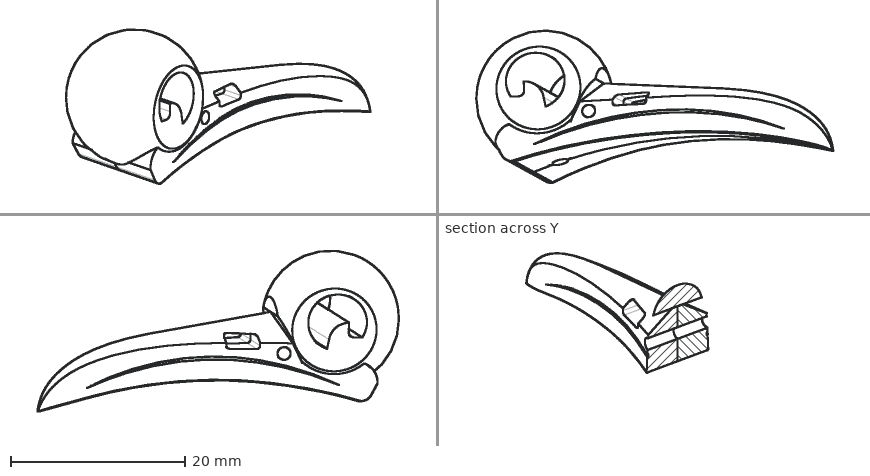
import cadquery as cq
import math


CRANIUM_RADIUS = 7.85
CRANIUM_HALF_WIDTH = 7.95
CRANIUM_Y = CRANIUM_RADIUS
CRANIUM_TOP_Z = 16.5
CRANIUM_Z = CRANIUM_TOP_Z - CRANIUM_RADIUS
CRANIUM_FRONT_Y = 15.1
CRANIUM_FRONT_FOOT_Z = 9.92
CRANIUM_UNDERCUT = 0.44
EYE_SIDE_SLOPE = 0.25
EYE_SIDE_HALF_WIDTH = 6.43

EYE_Y = 8.97
EYE_Z = 9.5
EYE_RADIUS = 3.3
EYE_TOP_ANGLE = 72
WAVE_FRONT_ANGLE = -69
WAVE_BACK_ANGLE = 213
WAVE_TIP = (7.7, 9.45)
WAVE_CREST_MIDDLE = (9.28, 8.8)
WAVE_CREST_FOOT = (9.92, 7.5)
WAVE_CURL_TOP = (7.72, 8.5)
WAVE_CURL_MIDDLE = (7.55, 7.9)
WAVE_CURL_FOOT_Y = 7.05

TIP_Y = 43.15
BELLY_PEAK_Y = 24.6
BELLY_PEAK_Z = 2.95
BELLY_REACH = TIP_Y - BELLY_PEAK_Y
BELLY_RADIUS = (BELLY_REACH**2 + BELLY_PEAK_Z**2) / (2 * BELLY_PEAK_Z)
EAVE_INSET = 0.25
EDGE_BEVEL = 0.15
TIP_SHARE = 0.25

BEAK_STATIONS = [
    (TIP_Y, 0.17, 0.2, 0.35),
    (42.05, 0.7, 2.35, 2.98),
    (39.7, 1.35, 4.45, 5.2),
    (36.25, 1.7, 5.9, 6.9),
    (31.92, 2.0, 6.8, 8.0),
    (26.75, 2.45, 7.25, 8.63),
    (19.85, 3.4, 7.2, 9.4),
    (15.1, 4.45, 7.07, 9.92),
    (10.35, 5.55, 6.9, 10.45),
    (3.45, 7.3, 6.7, 11.2),
]

HEEL_BOTTOM = (6.45, 0.17)
HEEL_ROUND_MIDDLE = (5.65, 0.35)
HEEL_ROUND_END = (5.15, 0.85)
HEEL_BACK = (4.4, 2.25)
HEEL_SHOULDER_MIDDLE = (4.7, 3.55)
HEEL_TOP = (6.15, 4.65)
SEAT_TOP = (12.5, 10.05)

NOSTRIL_CORNERS = [(21.35, 8.15), (17.5, 7.95), (17.5, 6.43), (21.35, 6.55)]
NOSTRIL_FILLET = 0.4
PIN_HOLE_Y = 14.85
PIN_HOLE_Z = 5.85
PIN_HOLE_RADIUS = 0.75

MOUTH_FRONT = (37.65, 2.7)
MOUTH_BACK = (8.75, 2.1)
MOUTH_UPPER_MIDDLE = (22.65, 5.7)
MOUTH_WIDTH = 0.35
MOUTH_DEPTH = 0.17

BEYOND = 21.55


def extrude_across(outline):
    """Extrude a closed YZ outline through the whole width."""
    return outline.extrude(BEYOND, both=True)


def make_ellipsoid():
    return (
        cq.Workplane("XY", origin=(0, CRANIUM_Y, CRANIUM_Z))
        .moveTo(-CRANIUM_HALF_WIDTH, 0)
        .ellipseArc(CRANIUM_HALF_WIDTH, CRANIUM_RADIUS, 180, 360, startAtCurrent=True)
        .close()
        .revolve(360, (0, 0, 0), (1, 0, 0))
    )


def make_eye_side_prism():
    """Prism that bounds the cranium at its slanted eye sides."""
    back_y = CRANIUM_Y - CRANIUM_RADIUS
    front_y = CRANIUM_Y + CRANIUM_RADIUS
    back_width = EYE_SIDE_HALF_WIDTH + EYE_SIDE_SLOPE * (CRANIUM_Y - back_y)
    front_width = EYE_SIDE_HALF_WIDTH + EYE_SIDE_SLOPE * (CRANIUM_Y - front_y)
    return (
        cq.Workplane("XY")
        .polyline([
            (-back_width, back_y),
            (back_width, back_y),
            (front_width, front_y),
            (-front_width, front_y),
        ])
        .close()
        .extrude(BEYOND)
    )


def make_front_cutter():
    """Everything ahead of the flat front and of its slanted lower part."""
    foot_y = CRANIUM_FRONT_Y - CRANIUM_UNDERCUT * CRANIUM_FRONT_FOOT_Z
    outline = cq.Workplane("YZ").polyline([
        (CRANIUM_FRONT_Y, BEYOND),
        (CRANIUM_FRONT_Y, CRANIUM_FRONT_FOOT_Z),
        (foot_y, 0),
        (BEYOND, 0),
        (BEYOND, BEYOND),
    ])
    return extrude_across(outline.close())


def make_cranium_blank():
    return make_ellipsoid().intersect(make_eye_side_prism()).cut(make_front_cutter())


def make_eye_opening():
    """Round hole whose lower rim is interrupted by a curling wave."""
    def on_rim(degrees):
        angle = math.radians(degrees)
        return (EYE_Y + EYE_RADIUS * math.cos(angle), EYE_Z + EYE_RADIUS * math.sin(angle))

    wave_front = on_rim(WAVE_FRONT_ANGLE)
    wave_back = on_rim(WAVE_BACK_ANGLE)
    outline = (
        cq.Workplane("YZ")
        .moveTo(*wave_front)
        .threePointArc(on_rim(EYE_TOP_ANGLE), wave_back)
        .lineTo(WAVE_CURL_FOOT_Y, wave_back[1])
        .threePointArc(WAVE_CURL_MIDDLE, WAVE_CURL_TOP)
        .lineTo(*WAVE_TIP)
        .threePointArc(WAVE_CREST_MIDDLE, WAVE_CREST_FOOT)
        .lineTo(*wave_front)
        .close()
    )
    return extrude_across(outline)


def make_cranium():
    return make_cranium_blank().cut(make_eye_opening())


def underside_height(y):
    drop = BELLY_RADIUS - math.sqrt(BELLY_RADIUS**2 - (y - BELLY_PEAK_Y) ** 2)
    return BELLY_PEAK_Z - drop


def beak_corners(station):
    """Corner points of half a cross-section, from the ridge round to the keel."""
    y, half_width, eave_z, ridge_z = station
    inset = min(EAVE_INSET, half_width * TIP_SHARE)
    bevel = min(EDGE_BEVEL, half_width * TIP_SHARE)
    bottom_z = underside_height(y)
    return [
        cq.Vector(0, y, ridge_z),
        cq.Vector(half_width - inset, y, eave_z),
        cq.Vector(half_width, y, bottom_z + bevel),
        cq.Vector(half_width - bevel, y, bottom_z),
        cq.Vector(0, y, bottom_z),
    ]


def make_beak_blank():
    """Half of the beak, bounded by ruled faces between five lengthwise curves."""
    sections = [beak_corners(station) for station in BEAK_STATIONS]
    rails = [cq.Edge.makeSpline(list(points)) for points in zip(*sections)]
    faces = [
        cq.Face.makeRuledSurface(rail, next_rail)
        for rail, next_rail in zip(rails, rails[1:] + rails[:1])
    ]
    for end in (sections[0], sections[-1]):
        faces.append(cq.Face.makeFromWires(cq.Wire.makePolygon(end, close=True)))
    return cq.Workplane(cq.Solid.makeSolid(cq.Shell.makeShell(faces)).fix())


def make_heel_trim():
    """Everything in front of the rounded heel and the cranium seat."""
    front_y = TIP_Y + BEYOND
    outline = (
        cq.Workplane("YZ")
        .moveTo(front_y, -BEYOND)
        .lineTo(HEEL_BOTTOM[0], -BEYOND)
        .lineTo(*HEEL_BOTTOM)
        .threePointArc(HEEL_ROUND_MIDDLE, HEEL_ROUND_END)
        .lineTo(*HEEL_BACK)
        .threePointArc(HEEL_SHOULDER_MIDDLE, HEEL_TOP)
        .lineTo(*SEAT_TOP)
        .lineTo(SEAT_TOP[0], BEYOND)
        .lineTo(front_y, BEYOND)
        .close()
    )
    return extrude_across(outline)


def make_nostril():
    outline = cq.Workplane("YZ").polyline(NOSTRIL_CORNERS)
    return extrude_across(outline.close()).edges("|X").fillet(NOSTRIL_FILLET)


def make_pin_hole():
    return extrude_across(cq.Workplane("YZ").center(PIN_HOLE_Y, PIN_HOLE_Z).circle(PIN_HOLE_RADIUS))


def make_mouth_groove(blank):
    """Crescent-shaped cutter of constant depth below the flank."""
    middle_y, middle_z = MOUTH_UPPER_MIDDLE
    crescent = extrude_across(
        cq.Workplane("YZ")
        .moveTo(*MOUTH_FRONT)
        .threePointArc(MOUTH_UPPER_MIDDLE, MOUTH_BACK)
        .threePointArc((middle_y, middle_z - MOUTH_WIDTH), MOUTH_FRONT)
        .close()
    )
    core = blank.translate((-MOUTH_DEPTH, 0, 0))
    outer_side = (
        cq.Workplane("XY", origin=(2 * MOUTH_DEPTH, 0, 0))
        .box(BEYOND, 2 * TIP_Y, BEYOND, centered=(False, True, True))
    )
    return crescent.intersect(outer_side).cut(core)


def make_beak_half(is_left):
    """The +X half of the beak, or its mirror image across the mid-plane."""
    blank = make_beak_blank()
    half = (
        blank.intersect(make_heel_trim())
        .cut(make_mouth_groove(blank))
        .cut(make_nostril())
        .cut(make_pin_hole())
        .cut(make_cranium_blank())
        .solids()
    )
    return half.mirror("YZ") if is_left else half


cranium = make_cranium().solids()
beak_halves = [make_beak_half(is_left).val() for is_left in (False, True)]

result = cq.Compound.makeCompound([cranium.val(), *beak_halves])